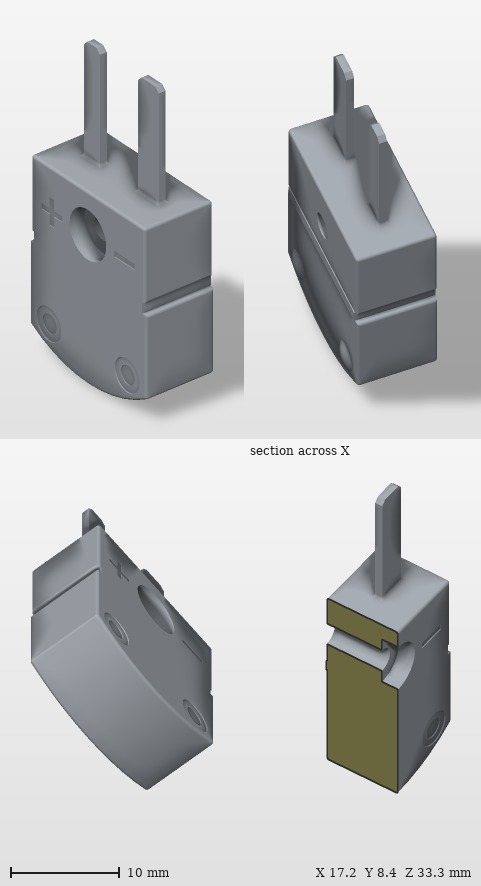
import cadquery as cq
import math


thickness = 8.0
upper_width = 16.8
lower_width = 17.2
edge_radius = 0.3
groove_top_z = -8.1
groove_bottom_z = -9.3
shoulder_z = -18.3
end_z = -20.8
belt_width = 16.0
belt_proud = 0.1

pins = [(-4.07, 2.4), (4.28, 3.05)]
pin_length = 12.5
pin_thickness = 0.8
pin_y = 0.1
pin_tip_chamfer = 0.5
pin_root_radius = 0.32

screw_z = -4.63
screw_diameter = 2.6
counterbore_diameter = 5.4
counterbore_depth = 1.8

rivet_x = 5.77
rivet_z = -17.05
rivet_recess_radius = 1.82
rivet_taper = 0.05
rivet_recess_depth = 0.1
rivet_bore_radius = 1.02
rivet_bore_depth = 0.2
dome_radius = 1.5
dome_height = 0.4

mark_x = 5.37
mark_z = -4.8
mark_length = 3.0
mark_stroke = 0.65
mark_depth = 0.1

front_y = -thickness / 2
back_y = thickness / 2


def block(width, depth, z_bottom, z_top):
    """Box centred on X, starting at the front face."""
    box = cq.Workplane("XY").box(width, depth, z_top - z_bottom, centered=(True, False, False))
    return box.translate((0, front_y, z_bottom))


def front_plane(x, z):
    """Workplane on the front face, with its normal pointing out of the part."""
    return cq.Workplane("XZ", origin=(x, front_y, z))


def rounded_slab(width, z_bottom, z_top):
    """Block whose four long edges, running front to back, are rounded."""
    return block(width, thickness, z_bottom, z_top).edges("|Y").fillet(edge_radius)


def make_upper_block():
    rounded = block(upper_width, thickness, groove_bottom_z, 0).edges().fillet(edge_radius)
    return rounded.intersect(rounded_slab(upper_width, groove_top_z, edge_radius))


def make_lower_block():
    half = lower_width / 2
    profile = (
        cq.Workplane("XZ", origin=(0, back_y, 0))
        .moveTo(-half, groove_top_z)
        .lineTo(half, groove_top_z)
        .lineTo(half, shoulder_z)
        .threePointArc((0, end_z), (-half, shoulder_z))
        .close()
    )
    rounded = profile.extrude(thickness).edges().fillet(edge_radius)
    return rounded.intersect(rounded_slab(lower_width, end_z - edge_radius, groove_bottom_z))


def make_housing():
    belt = block(belt_width, thickness + belt_proud, groove_bottom_z, groove_top_z)
    return make_upper_block().union(belt).union(make_lower_block())


def add_pin(body, x, width):
    pin = (
        cq.Workplane("XY", origin=(x, pin_y, -edge_radius))
        .rect(width, pin_thickness)
        .extrude(edge_radius + pin_length)
        .faces(">Z")
        .edges("|Y")
        .chamfer(pin_tip_chamfer)
    )
    body = body.union(pin)
    reach = 0.01
    root = cq.selectors.BoxSelector(
        (x - width / 2 - reach, pin_y - pin_thickness / 2 - reach, -reach),
        (x + width / 2 + reach, pin_y + pin_thickness / 2 + reach, reach),
    )
    return body.edges(root).fillet(pin_root_radius)


def cut_screw_hole(body):
    bore = front_plane(0, screw_z).circle(screw_diameter / 2).extrude(-thickness)
    counterbore = front_plane(0, screw_z).circle(counterbore_diameter / 2).extrude(-counterbore_depth)
    return body.cut(bore).cut(counterbore)


def cap_midpoint():
    """Point halfway along the arc from the rim of the dome to its top."""
    sphere_radius = (dome_radius**2 + dome_height**2) / (2 * dome_height)
    half_angle = math.asin(dome_radius / sphere_radius) / 2
    height = dome_height - sphere_radius * (1 - math.cos(half_angle))
    return (sphere_radius * math.sin(half_angle), height)


def add_rivet(body, x):
    taper_angle = math.degrees(math.atan2(rivet_taper, rivet_recess_depth))
    axis = front_plane(x, rivet_z)
    recess = axis.circle(rivet_recess_radius).extrude(-rivet_recess_depth, taper=taper_angle)
    bore = front_plane(x, rivet_z).circle(rivet_bore_radius).extrude(-rivet_bore_depth)
    dome = (
        cq.Workplane("XY", origin=(x, back_y, rivet_z))
        .moveTo(0, -edge_radius)
        .lineTo(dome_radius, -edge_radius)
        .lineTo(dome_radius, 0)
        .threePointArc(cap_midpoint(), (0, dome_height))
        .close()
        .revolve(360, (0, 0, 0), (0, 1, 0))
    )
    return body.cut(recess).cut(bore).union(dome)


def cut_polarity_marks(body):
    plus = front_plane(-mark_x, mark_z)
    minus = front_plane(mark_x, mark_z)
    body = body.cut(plus.rect(mark_length, mark_stroke).extrude(-mark_depth))
    body = body.cut(plus.rect(mark_stroke, mark_length).extrude(-mark_depth))
    return body.cut(minus.rect(mark_length, mark_stroke).extrude(-mark_depth))


result = make_housing()
for pin_x, pin_width in pins:
    result = add_pin(result, pin_x, pin_width)
result = cut_screw_hole(result)
for side in (-1, 1):
    result = add_rivet(result, side * rivet_x)
result = cut_polarity_marks(result)